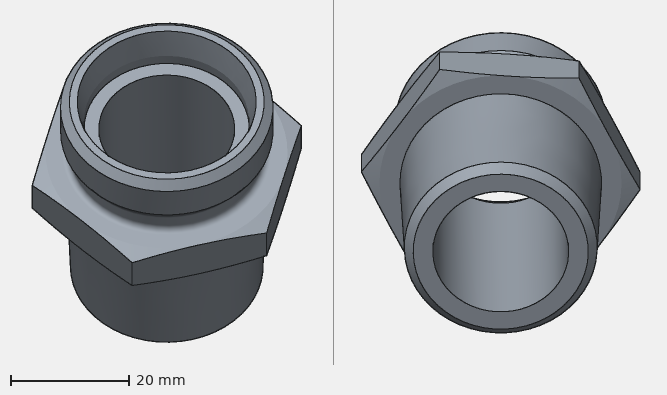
import cadquery as cq
import math

total_height = 47.0
hex_bottom = 25.0
hex_height = 8.0
hex_top = hex_bottom + hex_height

hex_corner_diameter = 47.35
hex_flat_radius = hex_corner_diameter / 2 * math.cos(math.radians(30))
hex_chamfer_angle = 15.0

gauge_height = 10.3
gauge_radius = 16.6
taper_slope = 1 / 32
stem_chamfer = 1.5

head_radius = 36.0 / 2
groove_radius = 33.0 / 2
head_chamfer = head_radius - groove_radius
head_bottom = total_height - 8.0
undercut_angle = 30.0
undercut_fillet = 1.0
groove_fillet = 1.15

bore_radius = 23.0 / 2
socket_radius = 28.0 / 2
socket_depth = 7.5
seat_mouth_radius = 15.15
seat_half_angle = 12.0


def revolve_profile(profile):
    """Turn a closed (radius, height) profile around the Z axis."""
    return profile.close().revolve(360, (0, 0, 0), (0, 1, 0))


def make_stem():
    def taper_radius(height):
        return gauge_radius + (height - gauge_height) * taper_slope

    chamfer_radius = taper_radius(stem_chamfer)
    return revolve_profile(
        cq.Workplane("XZ")
        .lineTo(chamfer_radius - stem_chamfer, 0)
        .lineTo(chamfer_radius, stem_chamfer)
        .lineTo(taper_radius(hex_bottom), hex_bottom)
        .lineTo(0, hex_bottom)
    )


def make_hexagon():
    """Hexagonal prism with its corners turned down at both ends."""
    prism = (
        cq.Workplane("XY", origin=(0, 0, hex_bottom))
        .polygon(6, hex_corner_diameter)
        .extrude(hex_height)
        .rotate((0, 0, 0), (0, 0, 1), 30)
    )
    corner_radius = hex_corner_diameter / 2
    corner_drop = (corner_radius - hex_flat_radius) * math.tan(math.radians(hex_chamfer_angle))
    turned_envelope = revolve_profile(
        cq.Workplane("XZ")
        .moveTo(0, hex_bottom)
        .lineTo(hex_flat_radius, hex_bottom)
        .lineTo(corner_radius, hex_bottom + corner_drop)
        .lineTo(corner_radius, hex_top - corner_drop)
        .lineTo(hex_flat_radius, hex_top)
        .lineTo(0, hex_top)
    )
    return prism.intersect(turned_envelope)


def make_head():
    """Collar with an undercut groove, blended into the hexagon's top face."""
    half_angle = math.radians(undercut_angle) / 2
    undercut_height = (head_radius - groove_radius) / math.tan(2 * half_angle)
    undercut_corner = head_bottom - undercut_height
    tangent_length = undercut_fillet * math.tan(half_angle)
    fillet_center_radius = groove_radius + undercut_fillet
    fillet_center_height = undercut_corner - tangent_length

    def undercut_arc_point(angle):
        return (
            fillet_center_radius - undercut_fillet * math.cos(angle),
            fillet_center_height + undercut_fillet * math.sin(angle),
        )

    arc_offset = groove_fillet * (1 - math.sqrt(0.5))
    return revolve_profile(
        cq.Workplane("XZ")
        .moveTo(0, hex_top)
        .lineTo(groove_radius + groove_fillet, hex_top)
        .threePointArc(
            (groove_radius + arc_offset, hex_top + arc_offset),
            (groove_radius, hex_top + groove_fillet),
        )
        .lineTo(groove_radius, fillet_center_height)
        .threePointArc(undercut_arc_point(half_angle), undercut_arc_point(2 * half_angle))
        .lineTo(head_radius, head_bottom)
        .lineTo(head_radius, total_height - head_chamfer)
        .lineTo(head_radius - head_chamfer, total_height)
        .lineTo(0, total_height)
    )


def make_bore():
    """Through bore opening into a cylindrical socket and a conical seat."""
    seat_depth = (seat_mouth_radius - socket_radius) / math.tan(math.radians(seat_half_angle))
    socket_floor = total_height - socket_depth
    return revolve_profile(
        cq.Workplane("XZ")
        .lineTo(bore_radius, 0)
        .lineTo(bore_radius, socket_floor)
        .lineTo(socket_radius, socket_floor)
        .lineTo(socket_radius, total_height - seat_depth)
        .lineTo(seat_mouth_radius, total_height)
        .lineTo(0, total_height)
    )


result = make_stem().union(make_hexagon()).union(make_head()).cut(make_bore())